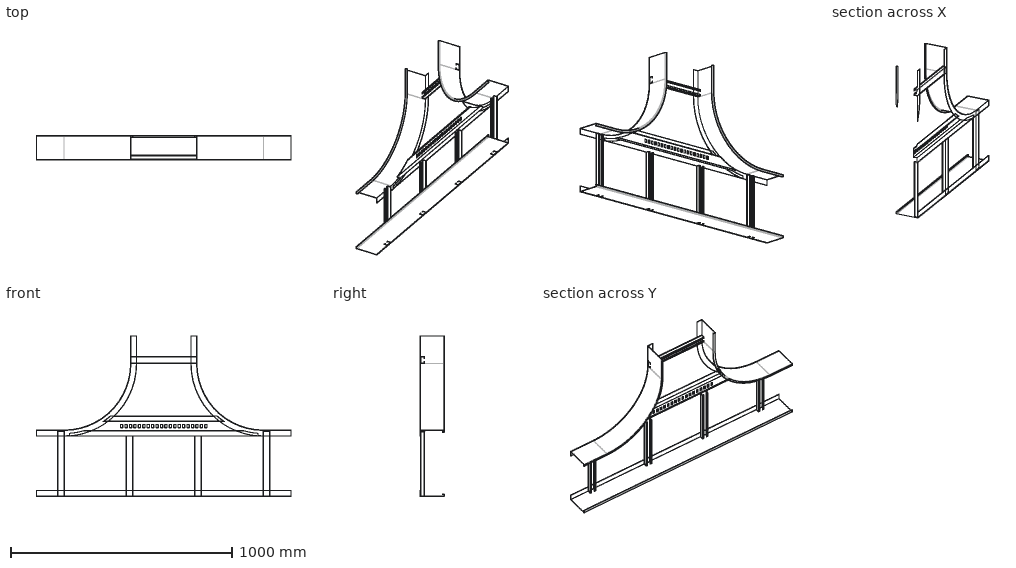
import cadquery as cq

run_length = 1150.0
ladder_width = 300.0
straight_length = 125.0
bend_centre_x = run_length / 2 - straight_length
bend_radius = bend_centre_x - ladder_width / 2
bend_centre_z = ladder_width + bend_radius

sheet = 2.0
rail_depth = 110.0
front_flange_height = 28.0
back_flange_height = 12.0
back_lip_reach = 8.0
back_bend_radius = 5.0

rung_width = 31.0
rung_depth = 17.0
rung_lip = 8.0
outer_rung_x = 465.0
inner_rung_x = 155.0
outer_rung_top_z = 293.0
branch_rung_z = 616.0

bar_height = 91.0
bar_bottom_z = ladder_width - front_flange_height
bar_half_length = 425.0
bar_flange_height = 25.0
bar_depth = 20.0
bar_end_gap = 14.0
slot_count = 20
slot_pitch = 20.0
slot_width = 9.0
slot_height = 14.0


def rail_section(web_z, inward):
    """Rail cross-section at the left end; inward is +1 or -1, the way its flanges point in Z.

    The front corner is square. The back flange bends round from the web and again into its lip.
    """
    lip_tip = rail_depth - back_lip_reach
    inner_radius = back_bend_radius - sheet
    arc_outer = -inward * back_bend_radius
    arc_inner = inward * inner_radius

    def at(y, height):
        return (y, web_z + inward * height)

    return (
        cq.Workplane("YZ", origin=(-run_length / 2, 0, 0))
        .moveTo(*at(0, 0))
        .lineTo(*at(rail_depth - back_bend_radius, 0))
        .radiusArc(at(rail_depth, back_bend_radius), arc_outer)
        .lineTo(*at(rail_depth, back_flange_height - back_bend_radius))
        .radiusArc(at(rail_depth - back_bend_radius, back_flange_height), arc_outer)
        .lineTo(*at(lip_tip, back_flange_height))
        .lineTo(*at(lip_tip, back_flange_height - sheet))
        .lineTo(*at(rail_depth - back_bend_radius, back_flange_height - sheet))
        .radiusArc(at(rail_depth - sheet, back_flange_height - back_bend_radius), arc_inner)
        .lineTo(*at(rail_depth - sheet, back_bend_radius))
        .radiusArc(at(rail_depth - back_bend_radius, sheet), arc_inner)
        .lineTo(*at(sheet, sheet))
        .lineTo(*at(sheet, front_flange_height))
        .lineTo(*at(0, front_flange_height))
        .close()
    )


def make_lower_rail():
    return rail_section(0, 1).extrude(run_length)


def make_curved_rail():
    """Left upper rail: straight along the run, a quarter bend, then straight up the branch."""
    path = (
        cq.Workplane("XZ")
        .moveTo(-run_length / 2, ladder_width)
        .hLine(straight_length)
        .radiusArc((-ladder_width / 2, bend_centre_z), -bend_radius)
        .vLine(straight_length)
    )
    return rail_section(ladder_width, -1).sweep(path)


def make_rung(length):
    """Upright C-channel standing on Z = 0, with its web in front and its lips at the back."""
    half_width = rung_width / 2
    half_inside = half_width - sheet
    half_opening = half_width - rung_lip
    lip_y = (rung_depth - sheet) / 2
    body = cq.Workplane("XY").rect(rung_width, rung_depth).extrude(length)
    cavity = cq.Workplane("XY").rect(2 * half_inside, rung_depth - 2 * sheet).extrude(length)
    opening = cq.Workplane("XY").center(0, lip_y).rect(2 * half_opening, 2 * sheet).extrude(length)
    return body.cut(cavity).cut(opening).translate((0, sheet + rung_depth / 2, 0))


def make_run_rung(x, top_z):
    return make_rung(top_z - sheet).translate((x, 0, sheet))


def make_branch_rung():
    length = ladder_width - 2 * sheet
    turned = make_rung(length).rotate((0, 0, 0), (0, 1, 0), 90)
    return turned.translate((-length / 2, 0, branch_rung_z))


def make_slotted_bar():
    """Hat-section bar behind the front flanges, with its ends cut to the rail bends."""
    front = sheet
    back = front + bar_depth
    bar_top_z = bar_bottom_z + bar_height
    recess_bottom_z = bar_bottom_z + bar_flange_height
    recess_top_z = bar_top_z - bar_flange_height
    section = [
        (front, bar_bottom_z),
        (front, recess_bottom_z),
        (back - sheet, recess_bottom_z),
        (back - sheet, recess_top_z),
        (front, recess_top_z),
        (front, bar_top_z),
        (front + sheet, bar_top_z),
        (front + sheet, recess_top_z + sheet),
        (back, recess_top_z + sheet),
        (back, recess_bottom_z - sheet),
        (front + sheet, recess_bottom_z - sheet),
        (front + sheet, bar_bottom_z),
    ]
    bar = (
        cq.Workplane("YZ", origin=(-bar_half_length, 0, 0))
        .polyline(section)
        .close()
        .extrude(2 * bar_half_length)
    )
    slots = (
        cq.Workplane("XZ", origin=(0, 0, bar_bottom_z + bar_height / 2))
        .rarray(slot_pitch, 12, slot_count, 1)
        .rect(slot_width, slot_height)
        .extrude(-2 * back)
    )
    bends = (
        cq.Workplane("XZ", origin=(0, 0, bend_centre_z))
        .pushPoints([(-bend_centre_x, 0), (bend_centre_x, 0)])
        .circle(bend_radius + sheet + bar_end_gap)
        .extrude(-rail_depth)
    )
    return bar.cut(slots).cut(bends)


lower_rail = make_lower_rail()
left_rail = make_curved_rail()
right_rail = left_rail.mirror("YZ")
slotted_bar = make_slotted_bar()
branch_rung = make_branch_rung()

run_rungs = []
for side in (-1, 1):
    run_rungs.append(make_run_rung(side * outer_rung_x, outer_rung_top_z).val())
    run_rungs.append(make_run_rung(side * inner_rung_x, bar_bottom_z).val())

result = cq.Compound.makeCompound(
    [
        lower_rail.val(),
        left_rail.val(),
        right_rail.val(),
        slotted_bar.val(),
        branch_rung.val(),
        *run_rungs,
    ]
)